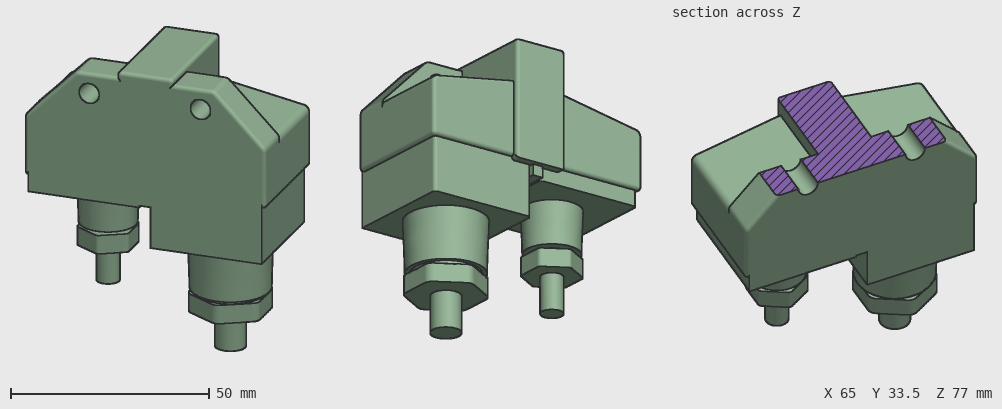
import cadquery as cq
import math


shell_half_width = 32.5
shell_bottom = 45.35
shoulder_top = 75.45
eave_height = 61.5
plate_depth = 10.0
shell_depth = 32.0
roof_angle = 10.0
edge_radius = 1.0
corner_radius = 2.0

ridge_width = 15.0
ridge_depth = 33.5
ridge_bottom = 44.4
ridge_top = 77.0

hole_diameter = 5.4
hole_spacing = 30.0
hole_height = 70.1

base_half_width = shell_half_width - edge_radius
base_depth = 31.1
base_top = 50.05
block_gap = 3.0
left_block_bottom = 41.0
right_block_bottom = 30.3
web_bottom = 41.4

gland_y = 16.0
left_gland_x = -16.0
right_gland_x = 17.0
taper_angle = 2.0
neck_length = 1.0
nut_height = 5.0
cable_length = 10.0


def extrude_along_y(outline, depth):
    """Extrude an XZ outline from the front face back to the given depth."""
    return cq.Workplane("XZ").polyline(outline).close().extrude(-depth)


def box_between(x_min, x_max, depth, z_min, z_max):
    """Box standing on the front plane."""
    size = (x_max - x_min, depth, z_max - z_min)
    return cq.Workplane("XY").box(*size, centered=False).translate((x_min, 0, z_min))


def make_front_plate():
    shoulder_half_width = shell_half_width - (shoulder_top - eave_height)
    outline = [
        (-shell_half_width, shell_bottom),
        (-shell_half_width, eave_height),
        (-shoulder_half_width, shoulder_top),
        (shoulder_half_width, shoulder_top),
        (shell_half_width, eave_height),
        (shell_half_width, shell_bottom),
    ]
    plate = extrude_along_y(outline, plate_depth)
    plate = plate.edges("|Y and (not <Z)").fillet(corner_radius)
    front_edges = plate.faces("<Y").edges()
    return front_edges.add(plate.faces("<Z").edges("|Y")).fillet(edge_radius)


def make_rear_shell():
    apex_height = eave_height + shell_half_width * math.tan(math.radians(roof_angle))
    outline = [
        (-shell_half_width, shell_bottom),
        (-shell_half_width, eave_height),
        (0, apex_height),
        (shell_half_width, eave_height),
        (shell_half_width, shell_bottom),
    ]
    shell = extrude_along_y(outline, shell_depth - plate_depth)
    shell = shell.edges("|Y and (not <Z) and (not >Z)").fillet(corner_radius)
    rear_edges = shell.faces(">Y").edges()
    shell = rear_edges.add(shell.faces("<Z").edges("|Y")).fillet(edge_radius)
    return shell.translate((0, plate_depth, 0))


def make_ridge():
    half_width = ridge_width / 2
    ridge = box_between(-half_width, half_width, ridge_depth, ridge_bottom, ridge_top)
    return ridge.edges("|Y or |Z or >Z").fillet(edge_radius)


def make_base():
    half_gap = block_gap / 2
    left = box_between(-base_half_width, -half_gap, base_depth, left_block_bottom, base_top)
    right = box_between(half_gap, base_half_width, base_depth, right_block_bottom, base_top)
    web = box_between(-half_gap, half_gap, shell_depth, web_bottom, base_top)
    left = left.faces(">Y").edges("|Z").fillet(edge_radius)
    right = right.faces(">Y").edges("|Z").fillet(edge_radius)
    return left.union(right).union(web)


def make_gland(
    x, top, top_radius, taper_length, neck_radius, nut_flats, nut_corner_radius, cable_radius
):
    """Tapered socket, neck, rounded hexagon nut and cable stub hanging from the given top height."""
    socket_end = top - taper_length
    neck_end = socket_end - neck_length
    nut_end = neck_end - nut_height
    cable_end = nut_end - cable_length
    tip_radius = top_radius - taper_length * math.tan(math.radians(taper_angle))
    stem = (
        cq.Workplane("XZ")
        .polyline([
            (0, top),
            (top_radius, top),
            (tip_radius, socket_end),
            (neck_radius, socket_end),
            (neck_radius, neck_end),
            (cable_radius, neck_end),
            (cable_radius, cable_end),
            (0, cable_end),
        ])
        .close()
        .revolve(360, (0, 0, 0), (0, 1, 0))
    )
    nut = (
        cq.Workplane("XY", origin=(0, 0, nut_end))
        .polygon(6, nut_flats, circumscribed=True)
        .extrude(nut_height)
        .edges("|Z")
        .fillet(nut_corner_radius)
    )
    return stem.union(nut).translate((x, gland_y, 0))


housing = make_front_plate().union(make_rear_shell()).union(make_ridge()).union(make_base())

screw_holes = (
    cq.Workplane("XZ")
    .pushPoints([(-hole_spacing / 2, hole_height), (hole_spacing / 2, hole_height)])
    .circle(hole_diameter / 2)
    .extrude(-plate_depth)
)
housing = housing.cut(screw_holes)

left_gland = make_gland(
    left_gland_x,
    left_block_bottom,
    top_radius=7.9,
    taper_length=11.85,
    neck_radius=4.8,
    nut_flats=13.85,
    nut_corner_radius=1.1,
    cable_radius=3.0,
)
right_gland = make_gland(
    right_gland_x,
    right_block_bottom,
    top_radius=10.9,
    taper_length=14.3,
    neck_radius=9.25,
    nut_flats=19.1,
    nut_corner_radius=2.5,
    cable_radius=4.0,
)

result = housing.union(left_gland).union(right_gland)